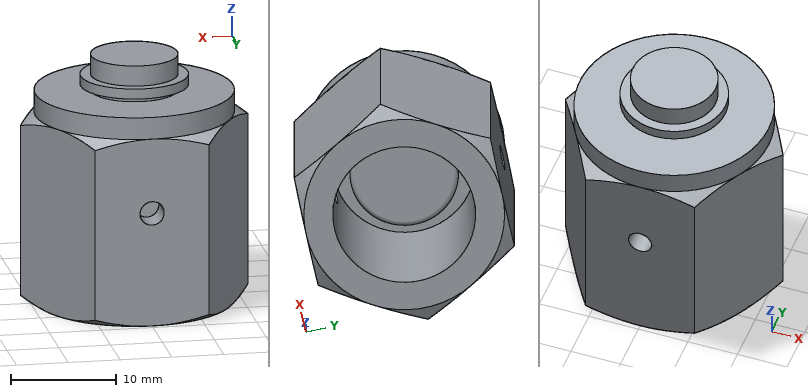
import cadquery as cq
import math

across_flats = 19.05
across_corners = across_flats / math.cos(math.radians(30))
nut_height = 18.51
chamfer_angle = 30

flange_top = 20.67
collar_bottom = 21.22
collar_top = 22.22
overall_height = 24.2
stem_diameter = 8.32
collar_diameter = 10.3

bore_diameter = 13.55
bore_depth = 15.0
plug_bottom = 11.83
plug_edge_radius = 0.48

vent_diameter = 2.32
vent_height = 11.15


def cylinder(diameter, bottom, top):
    """Upright cylinder on the Z axis between two heights."""
    return cq.Workplane("XY").workplane(offset=bottom).circle(diameter / 2).extrude(top - bottom)


def chamfered_hexagon():
    """Hexagonal prism whose corners are turned down by a cone at each end."""
    prism = cq.Workplane("XY").polygon(6, across_corners).extrude(nut_height)
    flat_radius = across_flats / 2
    corner_radius = across_corners / 2
    corner_drop = (corner_radius - flat_radius) * math.tan(math.radians(chamfer_angle))
    envelope = (
        cq.Workplane("XZ")
        .moveTo(0, 0)
        .lineTo(flat_radius, 0)
        .lineTo(corner_radius, corner_drop)
        .lineTo(corner_radius, nut_height - corner_drop)
        .lineTo(flat_radius, nut_height)
        .lineTo(0, nut_height)
        .close()
        .revolve(360, (0, 0, 0), (0, 1, 0))
    )
    return prism.intersect(envelope)


def cross_hole():
    """Cylinder along Y that pierces the front and back flats."""
    return (
        cq.Workplane("XZ")
        .center(0, vent_height)
        .circle(vent_diameter / 2)
        .extrude(across_flats, both=True)
    )


def hanging_plug():
    """Plug below the bore ceiling with a rounded lower edge."""
    return cylinder(collar_diameter, plug_bottom, bore_depth).faces("<Z").edges().fillet(plug_edge_radius)


nut = chamfered_hexagon().cut(cylinder(bore_diameter, 0, bore_depth)).cut(cross_hole())

result = (
    nut.union(hanging_plug())
    .union(cylinder(across_flats, nut_height, flange_top))
    .union(cylinder(stem_diameter, flange_top, overall_height))
    .union(cylinder(collar_diameter, collar_bottom, collar_top))
)